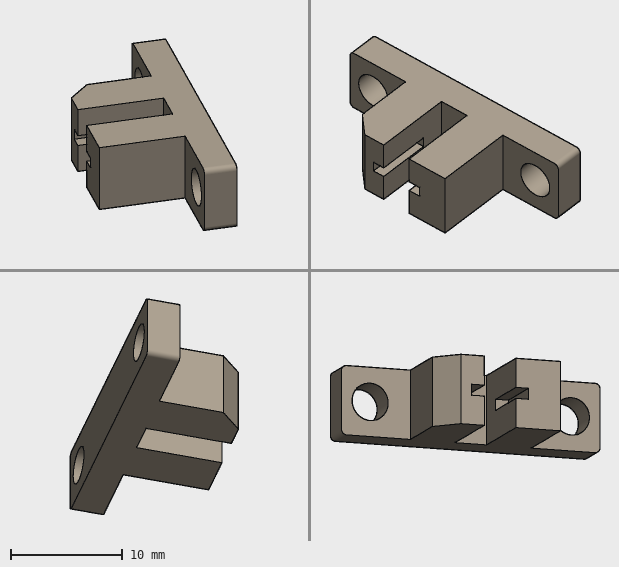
import cadquery as cq

plate_length = 24.5
height = 6.35
plate_thickness = 3.05
corner_radius = 0.5
hole_diameter = 3.4
hole_spacing = 19.05

total_depth = 11.0
arms_width = 11.45
gap_width = 3.0
arm_chamfer = 2.0

slot_depth = 1.2
slot_height = 1.0
slot_length = 5.5

arm_length = total_depth - plate_thickness
arm_width = (arms_width - gap_width) / 2
arm_center_x = (gap_width + arm_width) / 2
arm_center_y = -plate_thickness - arm_length / 2
slot_center_y = -total_depth + slot_length / 2


def make_plate():
    """Flange with rounded corners and a mounting hole at each end."""
    plate = (
        cq.Workplane("XY")
        .box(plate_length, plate_thickness, height)
        .translate((0, -plate_thickness / 2, 0))
        .edges("|Y")
        .fillet(corner_radius)
    )
    return (
        plate.faces("<Y")
        .workplane(centerOption="CenterOfBoundBox")
        .pushPoints([(-hole_spacing / 2, 0), (hole_spacing / 2, 0)])
        .hole(hole_diameter)
    )


def make_arm(side):
    """Arm on the given side (-1 or +1) with its aperture slot open to the gap and the tip."""
    arm = (
        cq.Workplane("XY")
        .box(arm_width, arm_length, height)
        .translate((side * arm_center_x, arm_center_y, 0))
    )
    slot_center_x = side * (gap_width + slot_depth) / 2
    slot = (
        cq.Workplane("XY")
        .box(slot_depth, slot_length, slot_height)
        .translate((slot_center_x, slot_center_y, 0))
    )
    return arm.cut(slot)


left_arm = make_arm(-1).faces("<X").edges("<Y").chamfer(arm_chamfer)
right_arm = make_arm(1)

result = make_plate().union(left_arm).union(right_arm)